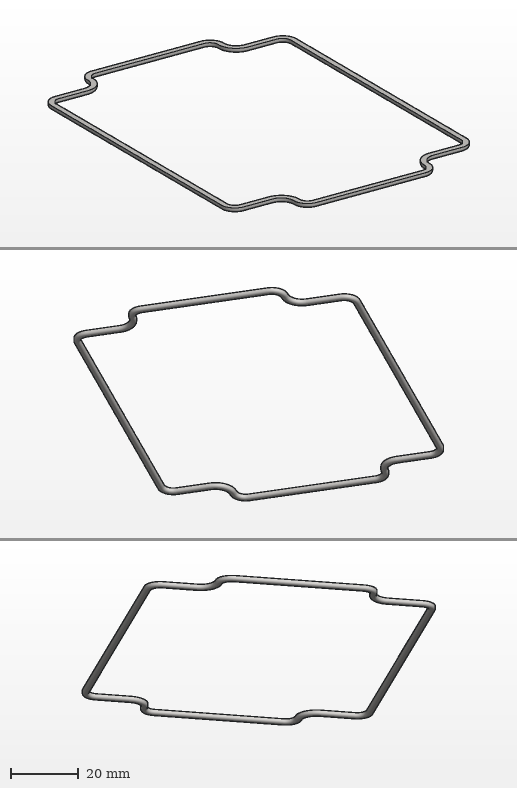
import cadquery as cq

length = 117.5
width = 87.5
thickness = 1.5

band_width = 2.0
notch_length = 9.4
notch_width = 19.5
convex_outer_radius = 4.8
notch_outer_radius = 4.3
lower_edge_radius = thickness / 2


def plus_shaped_plate(inset):
    """Notched plate whose outline lies `inset` inside the outer edge of the band."""
    full_x = length - 2 * inset
    full_y = width - 2 * inset
    waist_x = full_x - 2 * notch_length
    waist_y = full_y - 2 * notch_width

    wide_bar = cq.Workplane("XY").box(full_x, waist_y, thickness)
    tall_bar = cq.Workplane("XY").box(waist_x, full_y, thickness)
    plate = wide_bar.union(tall_bar)

    margin = band_width
    notch_roots = cq.selectors.BoxSelector(
        (-waist_x / 2 - margin, -waist_y / 2 - margin, -thickness),
        (waist_x / 2 + margin, waist_y / 2 + margin, thickness),
    )
    plate = plate.edges("|Z").edges(notch_roots).fillet(notch_outer_radius + inset)
    for side in ("<X", ">X", "<Y", ">Y"):
        plate = plate.faces(side).edges("|Z").fillet(convex_outer_radius - inset)
    return plate


band = plus_shaped_plate(0).cut(plus_shaped_plate(band_width))

result = band.faces("<Z").edges().fillet(lower_edge_radius)